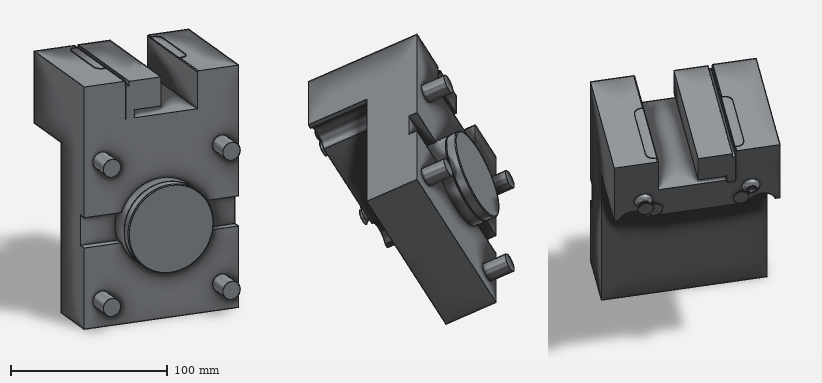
import cadquery as cq
HEIGHT = 163.5
WIDTH = 108.0
HEAD_LENGTH = 78.6
FOOT_LENGTH = 36.3
STEP_Z = 115.0
STEP_X = HEAD_LENGTH - FOOT_LENGTH

SLOT_WIDTH = 50.4
SLOT_DEPTH = 25.5
SLOT_EDGE_CHAMFER = 0.7
SLOT_FLOOR_Z = HEIGHT - SLOT_DEPTH
SLOT_WALL_Y = SLOT_WIDTH / 2

POCKET_START_X = 4.0
POCKET_END_X = 49.2
POCKET_WIDTH = 6.9
POCKET_CORNER_RADIUS = 4.9
POCKET_DEPTH = 0.3

JAW_INNER_Y = -0.3
JAW_WALL_GAP = 0.5
JAW_OUTER_Y = -SLOT_WALL_Y + JAW_WALL_GAP
JAW_OVERHANG = 1.6
JAW_TOP_Z = HEIGHT - 0.5
JAW_UNDERSIDE_Z = 143.4
JAW_TOE_Y = -19.0
JAW_LEDGE_Y = -22.5
JAW_LEDGE_DROP = 3.0
JAW_PIN_RADIUS = 5.0
JAW_PIN_Y = -11.0

CENTER_Z = 65.0
PIN_RADIUS = 6.0
PIN_LENGTH = 16.4
PIN_OFFSET_Y = 41.9
PIN_OFFSET_Z = 47.0
RELIEF_RADIUS = 9.5

SPIGOT_RADIUS = 30.0
SPIGOT_LENGTH = 15.2
SPIGOT_TAPER_START = 4.5
SPIGOT_TAPER = 0.5
GROOVE_START = 7.5
GROOVE_END = 8.7
GROOVE_DEPTH = 2.5
SPIGOT_CHAMFER = 0.7
KEY_SLOT_WIDTH = 20.5
KEY_SLOT_DEPTH = 5.9

NOZZLE_Y = 35.0
NOZZLE_Z = 130.0
NOZZLE_BASE_RADIUS = 5.9
NOZZLE_TIP_RADIUS = 3.3
NOZZLE_HEIGHT = 3.6
NOZZLE_BULGE = 0.5
NOZZLE_BORE_RADIUS = 2.5
SCREW_Y = 28.1
SCREW_Z = 123.3
SCREW_HEAD_RADIUS = 5.0
SCREW_NECK_RADIUS = 2.6
SCREW_HEAD_HEIGHT = 3.0
SCREW_EMBED = 1.6
NOZZLE_SCREW_REACH = 7.5


def box(x_range, y_range, z_range):
    """Box between the given limits on each axis."""
    size = [end - start for start, end in (x_range, y_range, z_range)]
    return cq.Workplane("XY").box(*size, centered=False).translate(
        (x_range[0], y_range[0], z_range[0])
    )


def rod(x_start, x_end, y, z, radius):
    """Cylinder along X."""
    return cq.Workplane("YZ", origin=(x_start, y, z)).circle(radius).extrude(x_end - x_start)


def revolve_about_x(profile, x, y, z):
    """Full turn of a closed profile, drawn as (axial, radial), about an X-parallel axis."""
    return profile.revolve(360, (0, 0, 0), (1, 0, 0)).translate((x, y, z))


def make_body():
    """L-shaped block with the open slot cut through its head."""
    half_width = WIDTH / 2
    mouth_y = SLOT_WALL_Y + SLOT_EDGE_CHAMFER
    head = (
        cq.Workplane("YZ")
        .moveTo(-half_width, 0)
        .lineTo(half_width, 0)
        .lineTo(half_width, HEIGHT)
        .lineTo(mouth_y, HEIGHT)
        .lineTo(SLOT_WALL_Y, HEIGHT - SLOT_EDGE_CHAMFER)
        .lineTo(SLOT_WALL_Y, SLOT_FLOOR_Z)
        .lineTo(-SLOT_WALL_Y, SLOT_FLOOR_Z)
        .lineTo(-SLOT_WALL_Y, HEIGHT - SLOT_EDGE_CHAMFER)
        .lineTo(-mouth_y, HEIGHT)
        .lineTo(-half_width, HEIGHT)
        .close()
        .extrude(HEAD_LENGTH)
    )
    return head.cut(box((0, STEP_X), (-half_width, half_width), (0, STEP_Z)))


def make_pocket(side):
    """Shallow pocket beside the slot, rounded on the side away from it."""
    length = POCKET_END_X - POCKET_START_X
    middle_x = (POCKET_START_X + POCKET_END_X) / 2
    return (
        cq.Workplane("XY", origin=(middle_x, 0, HEIGHT - POCKET_DEPTH))
        .rect(length, 2 * (SLOT_WALL_Y + POCKET_WIDTH))
        .extrude(POCKET_DEPTH)
        .edges("|Z")
        .fillet(POCKET_CORNER_RADIUS)
        .intersect(
            box(
                (POCKET_START_X, POCKET_END_X),
                sorted((0, side * WIDTH / 2)),
                (HEIGHT - POCKET_DEPTH, HEIGHT),
            )
        )
    )


def make_jaw():
    """Clamp jaw with a ledge along its top outer edge and a toe on the slot floor."""
    jaw = (
        cq.Workplane("YZ", origin=(-JAW_OVERHANG, 0, 0))
        .moveTo(JAW_INNER_Y, JAW_TOP_Z)
        .lineTo(JAW_LEDGE_Y, JAW_TOP_Z)
        .lineTo(JAW_LEDGE_Y, JAW_TOP_Z - JAW_LEDGE_DROP)
        .lineTo(JAW_OUTER_Y, JAW_TOP_Z - JAW_LEDGE_DROP)
        .lineTo(JAW_OUTER_Y, SLOT_FLOOR_Z)
        .lineTo(JAW_TOE_Y, SLOT_FLOOR_Z)
        .lineTo(JAW_TOE_Y, JAW_UNDERSIDE_Z)
        .lineTo(JAW_INNER_Y, JAW_UNDERSIDE_Z)
        .close()
        .extrude(HEAD_LENGTH + JAW_OVERHANG)
    )
    pin = (
        cq.Workplane("XY", origin=(HEAD_LENGTH / 2, JAW_PIN_Y, SLOT_FLOOR_Z))
        .circle(JAW_PIN_RADIUS)
        .extrude(JAW_UNDERSIDE_Z - SLOT_FLOOR_Z)
    )
    return jaw.union(pin)


def make_spigot():
    """Grooved round spigot, starting at the floor of the key slot."""
    taper_radius = SPIGOT_RADIUS - SPIGOT_TAPER
    groove_radius = SPIGOT_RADIUS - GROOVE_DEPTH
    profile = (
        cq.Workplane("XY")
        .moveTo(-KEY_SLOT_DEPTH, 0)
        .lineTo(-KEY_SLOT_DEPTH, SPIGOT_RADIUS)
        .lineTo(SPIGOT_TAPER_START, SPIGOT_RADIUS)
        .lineTo(GROOVE_START, taper_radius)
        .lineTo(GROOVE_START, groove_radius)
        .lineTo(GROOVE_END, groove_radius)
        .lineTo(GROOVE_END, SPIGOT_RADIUS)
        .lineTo(SPIGOT_LENGTH - SPIGOT_CHAMFER, SPIGOT_RADIUS)
        .lineTo(SPIGOT_LENGTH, SPIGOT_RADIUS - SPIGOT_CHAMFER)
        .lineTo(SPIGOT_LENGTH, 0)
        .close()
    )
    return revolve_about_x(profile, HEAD_LENGTH, 0, CENTER_Z)


def make_nozzle(side):
    """Domed nozzle with a bore down its axis."""
    middle_radius = (NOZZLE_BASE_RADIUS + NOZZLE_TIP_RADIUS) / 2 + NOZZLE_BULGE
    profile = (
        cq.Workplane("XY")
        .lineTo(0, NOZZLE_BASE_RADIUS)
        .threePointArc(
            (-NOZZLE_HEIGHT / 2, middle_radius), (-NOZZLE_HEIGHT, NOZZLE_TIP_RADIUS)
        )
        .lineTo(-NOZZLE_HEIGHT, NOZZLE_BORE_RADIUS)
        .lineTo(-NOZZLE_HEIGHT / 2, NOZZLE_BORE_RADIUS)
        .lineTo(-NOZZLE_HEIGHT / 2, 0)
        .close()
    )
    return revolve_about_x(profile, 0, side * NOZZLE_Y, NOZZLE_Z)


def make_screw(y, z, reach):
    """Countersunk-head screw whose head faces -X at the given distance from the head face."""
    profile = (
        cq.Workplane("XY")
        .moveTo(SCREW_EMBED, 0)
        .lineTo(SCREW_EMBED, SCREW_NECK_RADIUS)
        .lineTo(SCREW_HEAD_HEIGHT - reach, SCREW_NECK_RADIUS)
        .lineTo(-reach, SCREW_HEAD_RADIUS)
        .lineTo(-reach, 0)
        .close()
    )
    return revolve_about_x(profile, 0, y, z)


result = make_body()
key_slot = box(
    (HEAD_LENGTH - KEY_SLOT_DEPTH, HEAD_LENGTH),
    (-WIDTH / 2, WIDTH / 2),
    (CENTER_Z - KEY_SLOT_WIDTH / 2, CENTER_Z + KEY_SLOT_WIDTH / 2),
)
result = result.cut(key_slot).union(make_spigot()).union(make_jaw())

for side in (-1, 1):
    pin_y = side * PIN_OFFSET_Y
    result = result.cut(make_pocket(side))
    result = result.cut(rod(0, STEP_X, pin_y, CENTER_Z + PIN_OFFSET_Z, RELIEF_RADIUS))
    for level in (-1, 1):
        pin_z = CENTER_Z + level * PIN_OFFSET_Z
        result = result.union(
            rod(HEAD_LENGTH, HEAD_LENGTH + PIN_LENGTH, pin_y, pin_z, PIN_RADIUS)
        )
    result = result.union(make_nozzle(side))
    result = result.union(make_screw(side * SCREW_Y, SCREW_Z, SCREW_HEAD_HEIGHT))

result = result.union(make_screw(NOZZLE_Y, NOZZLE_Z, NOZZLE_SCREW_REACH))